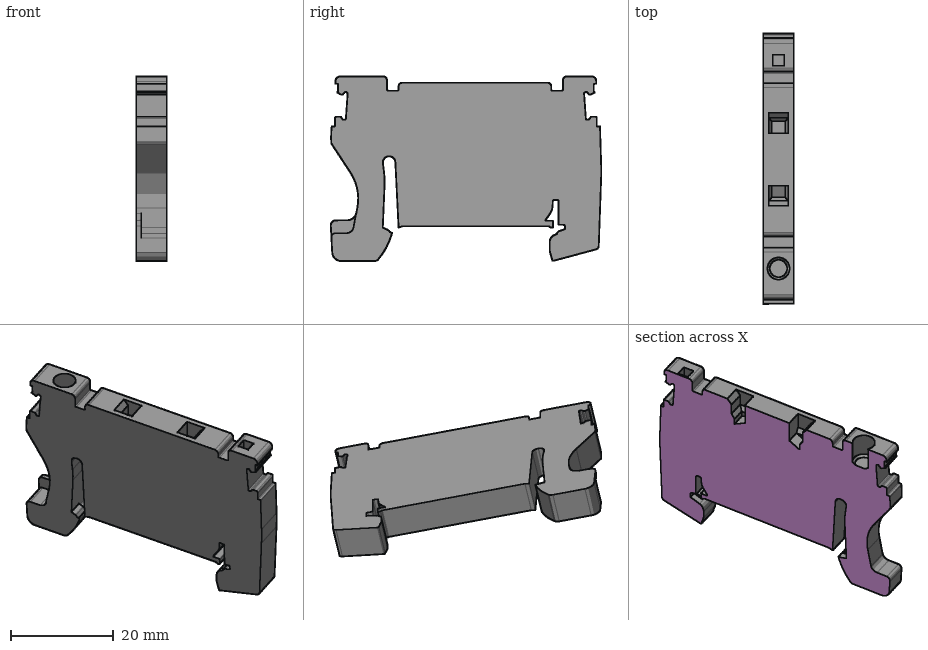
import cadquery as cq
import math

thickness = 6.0
length = 52.65
height = 35.95
half_length = length / 2
left_face = -thickness / 2

deck_z = 34.75
channel_floor_z = 33.15
top_round = 0.8
channel_round = 0.2
back_channel = (18.85, 16.65)
front_channel = (-13.1, -15.3)

belly_z = 6.8
foot_top_z = 5.4
shoulder_y = half_length - 0.2
back_bulge_y = half_length + 0.05
foot_corner_y = 0.1 - half_length
foot_inner_y = -22.05
foot_top_rise = 0.05
wall_crest_z = 14.1
foot_face_lean = math.radians(3)
foot_wall_lean = math.radians(10.6)

skin = 1.0
skin_foot_top_z = 7.95
skin_wall_top_z = 9.75
ridge_width = thickness / 2

entry_width = 3.8
entry_length = 3.95
entry_centre_y = 1.85
entry_spacing = 14.1
lead_in = 0.95
lead_in_depth = 1.1
shaft_depth = 3.4
throat_width = 2.65
throat_length = 2.3
funnel_depth = 1.05
throat_depth = 1.25
square_side = 2.15
square_y = 21.15
square_depth = 5.25
screw_y = -19.4
screw_radius = 2.15
screw_floor_radius = 1.7
screw_depth = 5.25


def rounded_outline(corners):
    """Closed outline in the YZ plane from (y, z, corner radius) entries."""
    path = []
    for index, (y, z, radius) in enumerate(corners):
        before = corners[index - 1]
        after = corners[(index + 1) % len(corners)]
        corner = cq.Vector(y, z)
        to_before = (cq.Vector(before[0], before[1]) - corner).normalized()
        to_after = (cq.Vector(after[0], after[1]) - corner).normalized()
        half_angle = to_before.getAngle(to_after) / 2
        reach = radius / math.tan(half_angle)
        inward = (to_before + to_after).normalized()
        start = corner + to_before * reach
        middle = corner + inward * (radius / math.sin(half_angle) - radius)
        end = corner + to_after * reach
        path.append((start, middle, end, radius))

    sketch = cq.Workplane("YZ", origin=(left_face, 0, 0)).moveTo(path[0][2].x, path[0][2].y)
    for start, middle, end, radius in path[1:] + path[:1]:
        sketch = sketch.lineTo(start.x, start.y)
        if radius > 0:
            sketch = sketch.threePointArc((middle.x, middle.y), (end.x, end.y))
    return sketch.close()


def marker_groove(side):
    """Snap-in groove for a marker at one end, from the head down to the shoulder."""
    corners = [
        (25.4, height, 0.95),
        (25.4, 34.5, 0.1),
        (24.9, 34.5, 0.1),
        (24.9, 33.05, 0),
        (25.05, 32.8, 0),
        (24.05, 32.3, 0.2),
        (23.45, 33.0, 0.2),
        (23.0, 32.7, 0.1),
        (23.4, 27.55, 0.2),
        (23.9, 27.55, 0.15),
        (24.3, 28.1, 0.25),
        (25.5, 28.1, 0.3),
        (25.5, 26.2, 0.1),
        (shoulder_y, 26.2, 0.05),
    ]
    return [(side * y, z, radius) for y, z, radius in corners]


def channel(edges, deck_first):
    """Cross channel between an end head and the deck."""
    first_top, last_top = (deck_z, height) if deck_first else (height, deck_z)
    return [
        (edges[0], first_top, top_round),
        (edges[0], channel_floor_z, channel_round),
        (edges[1], channel_floor_z, channel_round),
        (edges[1], last_top, top_round),
    ]


back_foot = [
    (back_bulge_y, 17.4, 52.65),
    (25.85, 2.4, 0.8),
    (16.85, 0, 0.2),
    (16.25, 2.0, 1.05),
    (16.25, 4.75, 1.6),
    (19.25, 5.9, 0),
    (19.25, 7.05, 0.3),
    (18.0, 7.05, 0.15),
    (18.0, 11.9, 0.25),
    (16.9, 11.9, 0.25),
    (16.9, 9.95, 3.15),
    (15.45, 7.9, 0.1),
    (16.95, 7.9, 0.1),
    (16.95, 6.55, 0.1),
    (16.55, 6.55, 0.1),
    (16.1, belly_z, 0.1),
]

front_hook = [
    (-12.25, belly_z, 0),
    (-13.1, 6.55, 0.05),
    (-13.8, 20.4, 1.15),
    (-16.25, 20.4, 1.15),
    (-15.75, 16.05, 15.8),
    (-16.15, 5.95, 0.1),
    (-14.3, 5.55, 0.1),
    (-15.2, 2.6, 13.15),
    (-17.3, 0, 1.05),
]


def foot_face_y(z):
    """Y of the leaning end face of the front foot."""
    return foot_corner_y - (z - foot_top_z) * math.tan(foot_face_lean)


def foot_wall_y(z):
    """Y of the leaning wall that rises from the inner end of the front foot's top."""
    return foot_inner_y + (z - foot_top_z) * math.tan(foot_wall_lean)


front_foot = [
    (foot_face_y(0), 0, 1.85),
    (foot_corner_y, foot_top_z, 0.8),
    (foot_inner_y, foot_top_z + foot_top_rise, 1.35),
    (foot_wall_y(wall_crest_z), wall_crest_z, 9.25),
    (foot_corner_y, 22.95, 0.55),
    (foot_corner_y - 0.05, 24.7, 21.05),
]

outline = (
    marker_groove(1)
    + back_foot
    + front_hook
    + front_foot
    + marker_groove(-1)[::-1]
    + channel(front_channel, True)[::-1]
    + channel(back_channel, False)[::-1]
)
body = rounded_outline(outline).extrude(thickness)

buried_y = -20.55
buried_z = 4.2
raised_foot_outline = [
    (buried_y, buried_z, 0),
    (foot_wall_y(skin_wall_top_z), skin_wall_top_z, 0),
    (foot_wall_y(skin_foot_top_z), skin_foot_top_z + foot_top_rise, 1.8),
    (foot_face_y(skin_foot_top_z), skin_foot_top_z, 1.0),
    (foot_face_y(buried_z), buried_z, 0),
]
body = body.union(rounded_outline(raised_foot_outline).extrude(skin))

back_hook_ridge = [(17.25, 5.0, 0), (18.05, 5.85, 0.4), (19.25, 6.25, 0), (19.25, 5.8, 0)]
front_hook_ridge = [(-14.4, 5.5, 0), (-15.25, 6.15, 0.4), (-16.2, 6.6, 0), (-16.2, 5.8, 0)]
for ridge in (back_hook_ridge, front_hook_ridge):
    ridge_bar = rounded_outline(ridge).extrude(ridge_width)
    body = body.union(ridge_bar.translate((thickness - ridge_width, 0, 0)))


def wire_entry(side):
    """Wire funnel in the deck, with its lead-in slope on the outer side."""
    inner_y = entry_centre_y + side * (entry_spacing - entry_length) / 2
    outer_y = inner_y + side * entry_length
    shaft_y = outer_y - side * lead_in
    throat_y = inner_y + side * throat_length
    shaft_z = deck_z - shaft_depth
    throat_z = shaft_z - funnel_depth

    mouth_profile = [
        (inner_y, deck_z),
        (outer_y, deck_z),
        (shaft_y, deck_z - lead_in_depth),
        (shaft_y, shaft_z),
        (inner_y, shaft_z),
    ]
    mouth = cq.Workplane("YZ").polyline(mouth_profile).close().extrude(entry_width / 2, both=True)

    funnel = (
        cq.Workplane("XY", origin=(0, (inner_y + shaft_y) / 2, shaft_z))
        .rect(entry_width, abs(shaft_y - inner_y))
        .workplane(offset=-funnel_depth)
        .center(0, (throat_y - shaft_y) / 2)
        .rect(throat_width, throat_length)
        .loft(ruled=True)
    )

    throat_profile = [
        (inner_y, throat_z),
        (throat_y, throat_z),
        (throat_y, throat_z - throat_depth),
    ]
    throat = cq.Workplane("YZ").polyline(throat_profile).close().extrude(throat_width / 2, both=True)
    return mouth.union(funnel).union(throat)


for side in (1, -1):
    body = body.cut(wire_entry(side))

square_hole = (
    cq.Workplane("XY", origin=(0, square_y, height))
    .rect(square_side, square_side)
    .extrude(-square_depth)
)

screw_hole = (
    cq.Workplane("XY", origin=(0, screw_y, height))
    .circle(screw_radius)
    .extrude(-screw_depth)
    .faces("<Z")
    .chamfer(screw_radius - screw_floor_radius)
)

result = body.cut(square_hole).cut(screw_hole)